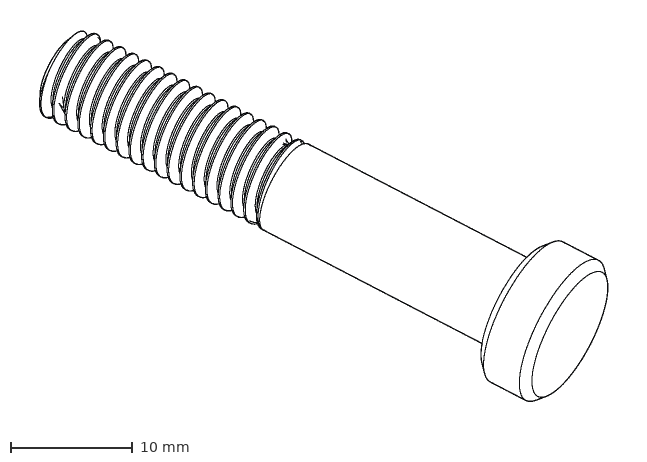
import cadquery as cq
import math

total_length = 50.0
head_height = 5.0
thread_length = 22.2

head_diameter = 13.0
shank_diameter = 8.0
root_diameter = 6.4
tip_diameter = 5.9

head_chamfer = 0.75

pitch = 1.25
flank_half_angle = math.radians(30)
first_crest = 1.65
groove_overshoot = 0.1
lead_in_turns = 2.5
groove_zone = 30.0

head_start = total_length - head_height
shank_radius = shank_diameter / 2
root_radius = root_diameter / 2
tip_chamfer = (shank_diameter - tip_diameter) / 2
tip_chamfer_length = tip_chamfer * math.tan(flank_half_angle)
groove_depth = shank_radius - root_radius
crest_width = pitch / 8
groove_half_width = (pitch - crest_width) / 2
root_half_width = groove_half_width - groove_depth * math.tan(flank_half_angle)


def cylinder_along_x(start, length, diameter):
    return cq.Workplane("YZ", origin=(start, 0, 0)).circle(diameter / 2).extrude(length)


def make_groove():
    """Helical thread groove along X, starting ahead of the tip and ending at the plain shank."""
    start = first_crest - lead_in_turns * pitch
    turns = math.ceil((thread_length - start) / pitch) + 1
    helix = cq.Wire.makeHelix(pitch, turns * pitch, root_radius)
    outer_radius = shank_radius + groove_overshoot
    outer_half_width = groove_half_width + groove_overshoot * math.tan(flank_half_angle)
    profile = cq.Workplane("XZ").polyline([
        (root_radius, root_half_width),
        (outer_radius, outer_half_width),
        (outer_radius, -outer_half_width),
        (root_radius, -root_half_width),
    ]).close()
    groove = profile.sweep(cq.Workplane(helix), isFrenet=True)
    groove = groove.rotate((0, 0, 0), (0, 1, 0), 90)
    groove = groove.rotate((0, 0, 0), (1, 0, 0), 180)
    groove = groove.translate((start, 0, 0))
    thread_zone = cylinder_along_x(thread_length - groove_zone, groove_zone, head_diameter)
    return groove.intersect(thread_zone)


def make_tip_cutter():
    """Ring around the tip that bevels it, extended along the same cone past both edges of the bevel."""
    tip_radius = tip_diameter / 2
    inner_point = (-tip_chamfer_length, tip_radius - tip_chamfer)
    outer_point = (2 * tip_chamfer_length, shank_radius + tip_chamfer)
    corner = (-tip_chamfer_length, shank_radius + tip_chamfer)
    ring_section = cq.Workplane("XZ").polyline([inner_point, outer_point, corner]).close()
    return ring_section.revolve(360, (0, 0, 0), (1, 0, 0))


def make_shank():
    """Shank with its thread cut first, so that the bevel also trims the thread run-out."""
    shank = cylinder_along_x(0, head_start, shank_diameter)
    return shank.cut(make_groove()).cut(make_tip_cutter())


def make_head():
    head = cylinder_along_x(head_start, head_height, head_diameter)
    return head.edges().chamfer(head_chamfer)


result = make_shank().union(make_head())